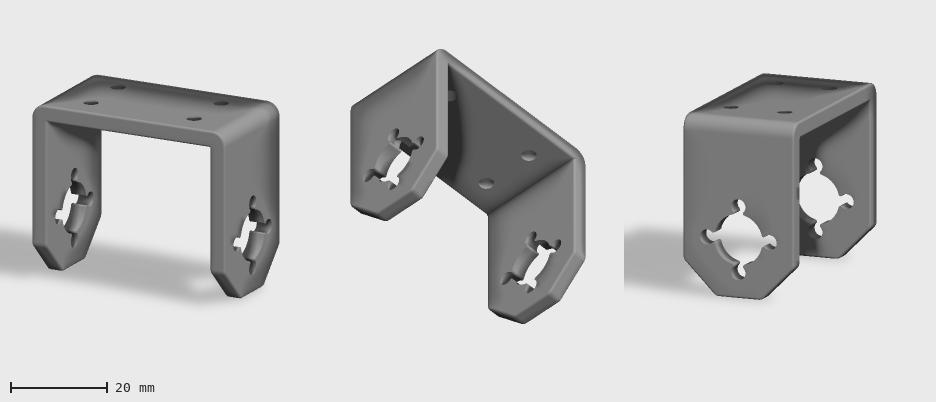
import cadquery as cq
import math

length = 45.0
width = 24.75
height = 37.75

thickness = 3.5
bend_radius = 3.0
edge_size = 0.5

corner_cut = 7.3
corner_radius = 1.5

hole_diameter = 3.2
mount_pitch_x = 24.0
mount_pitch_y = 12.0

bore_diameter = 10.8
bore_height = 12.4
lobe_offset = 7.0
lobe_count = 4
slot_width = 2.05
neck_radius = 0.35

ceiling = height - thickness
inner_length = length - 2 * thickness


def cap():
    """Web with its two outer bends and rounded front and back rims."""
    block = (
        cq.Workplane("XY", origin=(0, 0, ceiling))
        .box(length, width, thickness, centered=(True, True, False))
        .edges("|Y and >Z")
        .fillet(bend_radius)
        .faces("<Y or >Y")
        .edges("not <Z")
        .fillet(edge_size)
    )
    for side in (-1, 1):
        block = block.cut(underside_rounding(side))
    return block


def underside_rounding(side):
    """Material outside the rounded lower edge of the web, only between the legs."""
    edge_y = side * width / 2
    tangent_y = edge_y - side * edge_size
    on_arc = edge_size * math.sqrt(0.5)
    return (
        cq.Workplane("YZ")
        .moveTo(edge_y, ceiling)
        .lineTo(edge_y, ceiling + edge_size)
        .threePointArc(
            (tangent_y + side * on_arc, ceiling + edge_size - on_arc),
            (tangent_y, ceiling),
        )
        .close()
        .extrude(inner_length / 2, both=True)
    )


def legs():
    """Pair of plates tapered at the bottom, with all rims rounded up to the web."""
    half_width = width / 2
    half_tip = half_width - corner_cut
    outline = [
        (-half_width, height),
        (-half_width, corner_cut),
        (-half_tip, 0),
        (half_tip, 0),
        (half_width, corner_cut),
        (half_width, height),
    ]
    leg = (
        cq.Workplane("YZ", origin=(inner_length / 2, 0, 0))
        .polyline(outline)
        .close()
        .extrude(thickness)
        .edges("|X and (not >Z)")
        .fillet(corner_radius)
        .faces("<X or >X")
        .edges("not >Z")
        .fillet(edge_size)
    )
    below_web = cq.Workplane("XY").box(length, width, ceiling, centered=(True, True, False))
    leg = leg.intersect(below_web)
    return leg.union(leg.mirror("YZ"))


def mount_holes():
    """Four through holes in a rectangle on the web."""
    return (
        cq.Workplane("XY", origin=(0, 0, ceiling))
        .rect(mount_pitch_x, mount_pitch_y, forConstruction=True)
        .vertices()
        .circle(hole_diameter / 2)
        .extrude(thickness)
    )


def leg_opening():
    """Round bore joined by narrow slots to four small lobes, through both legs."""
    plane = cq.Workplane("YZ", origin=(-length / 2, 0, bore_height))
    slot_length = 2 * lobe_offset
    across = plane.rect(slot_length, slot_width).extrude(length)
    upright = plane.rect(slot_width, slot_length).extrude(length)
    bore = plane.circle(bore_diameter / 2).extrude(length)
    lobes = (
        plane.polarArray(lobe_offset, 0, 360, lobe_count)
        .circle(hole_diameter / 2)
        .extrude(length)
    )
    bore_radius = bore_diameter / 2
    around_bore = cq.selectors.BoxSelector(
        (-length, -bore_radius, bore_height - bore_radius),
        (length, bore_radius, bore_height + bore_radius),
    )
    slotted_bore = bore.union(across).union(upright)
    slotted_bore = slotted_bore.edges("|X").edges(around_bore).fillet(neck_radius)
    return slotted_bore.union(lobes)


result = cap().union(legs()).cut(mount_holes()).cut(leg_opening())